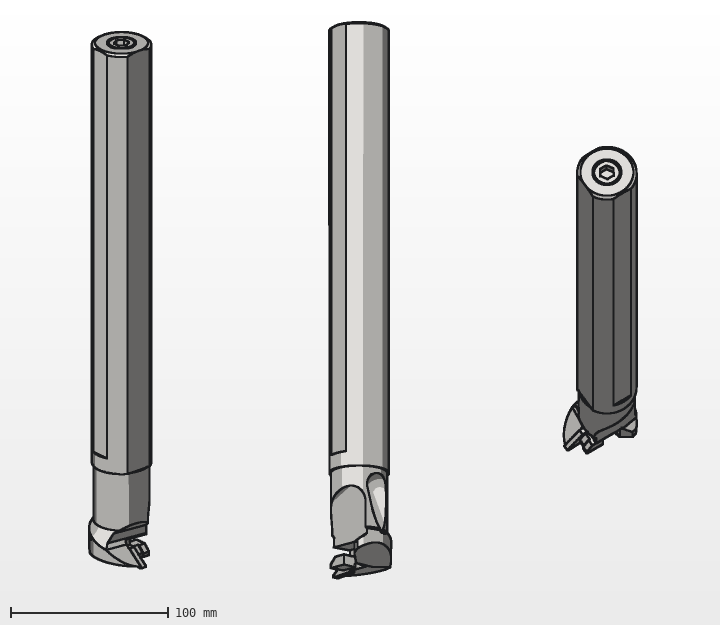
import cadquery as cq
import math

total_length = 355.0
total_width = 47.0
joint_z = 63.0

shank_diameter = 38.0
shank_radius = shank_diameter / 2
clamp_flat_offset = 17.8
clamp_flat_bottom_z = 72.8
side_flat_offset = 16.7
rear_chamfer_height = 1.5
rear_chamfer_width = 2.0

plug_radius = 8.0
plug_length = 14.2
plug_bore_chamfer = 1.0
hex_across_corners = 10.0
hex_depth = 5.5

neck_diameter = 36.0
neck_radius = neck_diameter / 2
neck_bottom_z = 23.0
lobe_diameter = 47.2
lobe_radius = lobe_diameter / 2
lobe_center_x = lobe_radius - shank_radius
flare_drop_per_radius = 1.5
flare_top_z = neck_bottom_z
bottom_z = 1.3
relief_angle = 8.0
heel_top_z = 13.0
heel_end_x = -5.0

insert_angle = 35.0
insert_edge = 16.7
insert_nose_radius = 0.7
insert_tip_x = total_width - shank_radius
insert_clearance_angle = 3.0
seat_y = -7.0
rake_y = -3.37
seat_end_x = 12.0

clamp_tip_x = 19.5
clamp_root_x = 7.0
clamp_low_z = 3.0
clamp_tip_z = 5.5
clamp_high_z = 9.5
clamp_top_y = 6.5
clamp_lip_y = 1.8
clamp_nose_setback = 1.0

notch_turn = 7.0
notch_wall_x = 12.8
notch_mouth_z = 27.0
notch_wall_top_z = 21.3
notch_wall_bottom_z = 15.5
notch_floor_z = 12.0

scoop_fall = 0.45
scoop_floor_y = 9.0
scoop_mouth_y = 17.8
scoop_mouth_z = 47.5
scoop_middle_y = 12.0
scoop_middle_z = 42.0
scoop_floor_top_z = 33.0
scoop_floor_bottom_z = 11.0
scoop_lip_y = 14.0
scoop_lip_z = 8.0

gullet_top_z = 15.0
gullet_outer_x = -10.3
gullet_corner_x = -5.0
gullet_corner_y = 7.5
gullet_inner_x = -3.0

groove_radius = 8.0
groove_end_x = -16.7
groove_end_z = 51.0
groove_exit_y = -4.3
groove_exit_z = neck_bottom_z

groove_port_radius = 1.5
groove_port_y = -5.0
groove_port_z = 21.5
groove_port_depth = 3.5
lobe_port_radius = 2.0
lobe_port_x = -6.7
lobe_port_z = 14.5
lobe_port_floor_y = -17.0

reach = 71.0


def box_between(low, high):
    """Axis-aligned box between two opposite corners."""
    sizes = [b - a for a, b in zip(low, high)]
    return cq.Workplane("XY").box(*sizes, centered=False).translate(low)


def xz_prism(points, y_low, y_high):
    """Prism with an outline in X and Z, running from y_low to y_high."""
    outline = cq.Workplane("XZ", origin=(0, y_high, 0)).polyline(points).close()
    return outline.extrude(y_high - y_low)


def make_shank():
    length = total_length - joint_z
    shank = cq.Workplane("XY", origin=(0, 0, joint_z)).circle(shank_radius).extrude(length)
    shank = shank.faces(">Z").edges().chamfer(rear_chamfer_height, rear_chamfer_width)

    for side in (-1, 1):
        near = side * clamp_flat_offset
        far = side * reach
        flat = box_between(
            (-reach, min(near, far), clamp_flat_bottom_z),
            (reach, max(near, far), total_length),
        )
        shank = shank.cut(flat)
    side_flat = box_between((side_flat_offset, -reach, joint_z), (reach, reach, total_length))
    shank = shank.cut(side_flat)

    bore_plane = cq.Workplane("XY", origin=(0, 0, total_length))
    bore = bore_plane.circle(plug_radius).extrude(-plug_length)
    mouth_radius = plug_radius + plug_bore_chamfer
    mouth = bore_plane.circle(mouth_radius).extrude(-plug_bore_chamfer, taper=45)
    return shank.cut(bore).cut(mouth)


def make_plug():
    rear = cq.Workplane("XY", origin=(0, 0, total_length))
    plug = rear.circle(plug_radius).extrude(-plug_length)
    socket = rear.polygon(6, hex_across_corners).extrude(-hex_depth)
    return plug.cut(socket)


def insert_prism():
    """Rhombic prism of the insert, with its nose at the tool tip."""
    half_angle = insert_angle / 2
    nose_x = insert_tip_x - insert_nose_radius
    nose_z = insert_nose_radius
    axis = math.radians(half_angle + insert_clearance_angle)
    sharp = insert_nose_radius / math.sin(math.radians(half_angle))
    tip_x = nose_x + sharp * math.cos(axis)
    tip_z = nose_z - sharp * math.sin(axis)

    def edge_vector(angle):
        turn = math.radians(angle)
        return -insert_edge * math.cos(turn), insert_edge * math.sin(turn)

    low_x, low_z = edge_vector(insert_clearance_angle)
    high_x, high_z = edge_vector(insert_clearance_angle + insert_angle)
    rhombus = [
        (tip_x, tip_z),
        (tip_x + low_x, tip_z + low_z),
        (tip_x + low_x + high_x, tip_z + low_z + high_z),
        (tip_x + high_x, tip_z + high_z),
    ]
    prism = xz_prism(rhombus, seat_y, rake_y)
    return prism.edges("|Y").edges(">X").fillet(insert_nose_radius)


def head_blank():
    """Neck plus the lobe, which the flare cone trims, and the shank circle on the +Y side."""
    neck = cq.Workplane("XY", origin=(0, 0, neck_bottom_z)).circle(neck_radius)
    neck = neck.extrude(joint_z - neck_bottom_z)
    lobe = cq.Workplane("XY").center(lobe_center_x, 0).circle(lobe_radius)
    lobe = lobe.extrude(flare_top_z)
    trim = cq.Workplane("XY").rect(2 * reach, 2 * reach).circle(shank_radius).extrude(flare_top_z)
    rear_half = box_between((-reach, 0, 0), (reach, reach, flare_top_z))
    lobe = lobe.cut(trim.intersect(rear_half))
    cone_base_radius = neck_radius + flare_top_z / flare_drop_per_radius
    cone = cq.Workplane(cq.Solid.makeCone(cone_base_radius, neck_radius, flare_top_z))
    return neck.union(lobe.intersect(cone))


def underside_cuts(head):
    """Relieved underside and the sloped heel."""
    rise = math.tan(math.radians(relief_angle))
    relief = [
        (-reach, bottom_z + rise * (reach + seat_y)),
        (seat_y, bottom_z),
        (reach, bottom_z),
        (reach, -reach),
        (-reach, -reach),
    ]
    head = head.cut(cq.Workplane("YZ").polyline(relief).close().extrude(reach, both=True))
    heel_top_x = -shank_radius
    slope = (heel_top_z - bottom_z) / (heel_end_x - heel_top_x)
    heel = [
        (heel_end_x + bottom_z / slope, 0),
        (-reach, slope * (reach + heel_end_x) + bottom_z),
        (-reach, 0),
    ]
    return head.cut(xz_prism(heel, -reach, reach))


def chip_notch():
    """Notch on the +X side, its floor running down to the tip along the insert's upper edge."""
    fall = math.tan(math.radians(insert_angle + insert_clearance_angle))
    tip_z = 2 * insert_nose_radius
    flank_x = insert_tip_x - (notch_floor_z - tip_z) / fall
    outline = [
        (neck_radius, notch_mouth_z),
        (notch_wall_x, notch_wall_top_z),
        (notch_wall_x, notch_wall_bottom_z),
        (flank_x, notch_floor_z),
        (insert_tip_x, tip_z),
        (reach, tip_z),
        (reach, notch_mouth_z),
    ]
    notch = xz_prism(outline, -reach, reach)
    return notch.rotate((notch_wall_x, 0, 0), (notch_wall_x, 0, 1), -notch_turn)


def chip_scoop():
    """Scoop on the +Y side of the neck, falling towards +X."""
    plane = cq.Plane(origin=(0, 0, 0), xDir=(0, 1, 0), normal=(1, 0, -scoop_fall))
    shorten = 1 / math.hypot(1, scoop_fall)

    def tilted(y, z):
        return y, z * shorten

    profile = cq.Workplane(plane).moveTo(*tilted(scoop_mouth_y, scoop_mouth_z))
    profile = profile.threePointArc(
        tilted(scoop_middle_y, scoop_middle_z),
        tilted(scoop_floor_y, scoop_floor_top_z),
    )
    profile = profile.lineTo(*tilted(scoop_floor_y, scoop_floor_bottom_z))
    profile = profile.lineTo(*tilted(scoop_lip_y, scoop_lip_z))
    profile = profile.lineTo(*tilted(lobe_radius, scoop_lip_z))
    profile = profile.lineTo(*tilted(lobe_radius, scoop_mouth_z)).close()
    return profile.extrude(reach, both=True)


def gullet():
    """Open space above the rake face, where the clamp sits."""
    outline = [
        (gullet_inner_x, rake_y),
        (gullet_corner_x, gullet_corner_y),
        (gullet_outer_x, scoop_lip_y),
        (gullet_outer_x - lobe_radius, scoop_lip_y),
        (gullet_outer_x - lobe_radius, reach),
        (reach, reach),
        (reach, rake_y),
    ]
    return cq.Workplane("XY").polyline(outline).close().extrude(gullet_top_z)


def seat_clearance():
    """Free space around the overhanging half of the insert, down to the level of its seat."""
    return box_between((seat_end_x, seat_y, 0), (reach, reach, gullet_top_z))


def coolant_groove():
    """Ball-ended groove that runs out of the neck surface towards the lobe."""
    end = cq.Vector(groove_end_x, 0, groove_end_z)
    run_out = cq.Vector(-neck_radius - groove_radius, groove_exit_y, groove_exit_z)
    direction = run_out - end
    channel = cq.Solid.makeCylinder(groove_radius, direction.Length, end, direction)
    ball = cq.Workplane("XY").sphere(groove_radius).translate(end.toTuple())
    return ball.union(cq.Workplane(channel))


def coolant_ports():
    groove_port = cq.Workplane("YZ", origin=(-neck_radius - groove_port_depth, 0, 0))
    groove_port = groove_port.center(groove_port_y, groove_port_z).circle(groove_port_radius)
    groove_port = groove_port.extrude(2 * groove_port_depth)
    lobe_port = cq.Workplane("XZ", origin=(0, lobe_port_floor_y, 0))
    lobe_port = lobe_port.center(lobe_port_x, lobe_port_z).circle(lobe_port_radius)
    return groove_port, lobe_port.extrude(lobe_radius)


def make_head():
    head = underside_cuts(head_blank())
    cutters = [
        chip_notch(),
        chip_scoop(),
        gullet(),
        insert_prism(),
        seat_clearance(),
        coolant_groove(),
        *coolant_ports(),
    ]
    for cutter in cutters:
        head = head.cut(cutter)
    return head


def make_clamp():
    """Finger on the rake face with an overhanging lip at its tip."""
    def finger(tip_x, y_low, y_high):
        outline = [
            (clamp_root_x, clamp_low_z),
            (tip_x, clamp_low_z),
            (tip_x, clamp_tip_z),
            (tip_x - (clamp_high_z - clamp_tip_z), clamp_high_z),
            (clamp_root_x, clamp_high_z),
        ]
        return xz_prism(outline, y_low, y_high)

    foot = finger(clamp_tip_x - clamp_nose_setback, rake_y, clamp_lip_y)
    lip = finger(clamp_tip_x, clamp_lip_y, clamp_top_y)
    return foot.union(lip)


shank = make_shank()
plug = make_plug()
head = make_head()
insert = insert_prism()
clamp = make_clamp()

result = cq.Compound.makeCompound(
    [shank.val(), plug.val(), head.solids().val(), insert.val(), clamp.val()]
)